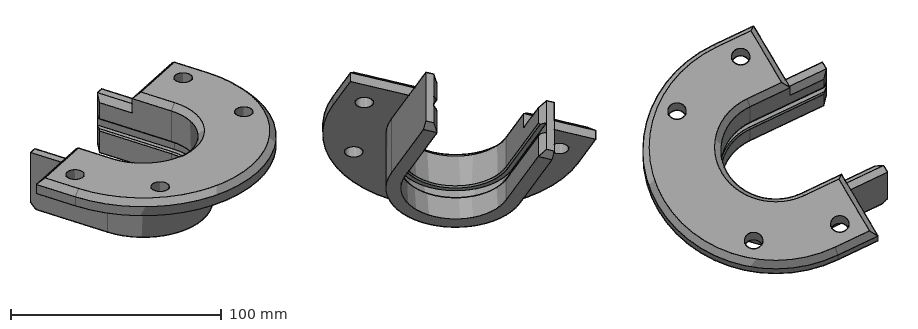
import cadquery as cq

height = 39.0
plate_thickness = 8.1
plate_radius = 63.0
plate_end_x = -21.5
wall_end_x = -42.6
wall_radius = 33.0
bore_radius = 26.0
chamfer = 3.0

groove_radius = bore_radius + chamfer
groove_top_z = -20.8
groove_bottom_z = -26.2
groove_edge_chamfer = 0.8

hole_diameter = 8.7
hole_places = [(-7.8, 50.1), (32.4, 38.8)]
overrun = 6.3


def u_solid(radius, end_x, bottom_z, top_z):
    """Solid with a half-round +X end and straight sides reaching end_x."""
    return (
        cq.Workplane("XY", origin=(0, 0, bottom_z))
        .moveTo(end_x, -radius)
        .lineTo(0, -radius)
        .threePointArc((radius, 0), (0, radius))
        .lineTo(end_x, radius)
        .close()
        .extrude(top_z - bottom_z)
    )


def u_flare(outline, end_x):
    """Sweep a radius/height outline along the U: a full turn plus straight sides toward -X."""
    bend = (
        cq.Workplane("XZ")
        .polyline(outline)
        .close()
        .revolve(360, (0, 0, 0), (0, 1, 0))
    )
    side = cq.Workplane("YZ").polyline(outline).close().extrude(end_x)
    return bend.union(side).union(side.mirror("XZ"))


def mounting_plate():
    plate = u_solid(plate_radius, plate_end_x, -plate_thickness, 0)
    return plate.faces(">Z").edges().chamfer(chamfer)


def collar():
    body = u_solid(wall_radius, wall_end_x, -height, -plate_thickness)
    return body.faces("<X").edges("<Z").chamfer(chamfer)


def bore():
    return u_solid(bore_radius, wall_end_x - overrun, -height, 0)


def bore_mouth():
    """Chamfer where the bore meets the top face."""
    outline = [(0, 0), (groove_radius, 0), (bore_radius, -chamfer), (0, -chamfer)]
    return u_flare(outline, wall_end_x)


def groove():
    """Square groove with chamfered edges where it meets the bore."""
    lip_radius = bore_radius + groove_edge_chamfer
    mouth_top_z = groove_top_z + groove_edge_chamfer
    mouth_bottom_z = groove_bottom_z - groove_edge_chamfer
    outline = [
        (0, mouth_top_z),
        (bore_radius, mouth_top_z),
        (lip_radius, groove_top_z),
        (groove_radius, groove_top_z),
        (groove_radius, groove_bottom_z),
        (lip_radius, groove_bottom_z),
        (bore_radius, mouth_bottom_z),
        (0, mouth_bottom_z),
    ]
    return u_flare(outline, wall_end_x - overrun)


def arm_top_bevel():
    """Bevel on the inner top edges of the arms, beyond the plate."""
    outline = [
        (0, -plate_thickness),
        (groove_radius, -plate_thickness),
        (bore_radius, -plate_thickness - chamfer),
        (0, -plate_thickness - chamfer),
    ]
    side = (
        cq.Workplane("YZ", origin=(plate_end_x, 0, 0))
        .polyline(outline)
        .close()
        .extrude(wall_end_x - plate_end_x)
    )
    return side.union(side.mirror("XZ"))


def arm_entry_bevel():
    """Lead-in on the inner upright edges at the open end of the arms."""
    return (
        cq.Workplane("XY", origin=(0, 0, -height))
        .polyline([
            (wall_end_x, -groove_radius),
            (wall_end_x + chamfer, -bore_radius),
            (wall_end_x + chamfer, bore_radius),
            (wall_end_x, groove_radius),
        ])
        .close()
        .extrude(height)
    )


def bolt_holes():
    places = [(x, side * y) for x, y in hole_places for side in (-1, 1)]
    return (
        cq.Workplane("XY")
        .pushPoints(places)
        .circle(hole_diameter / 2)
        .extrude(-plate_thickness)
    )


result = mounting_plate().union(collar())
for cutter in (bore(), bore_mouth(), groove(), arm_top_bevel(), arm_entry_bevel(), bolt_holes()):
    result = result.cut(cutter)